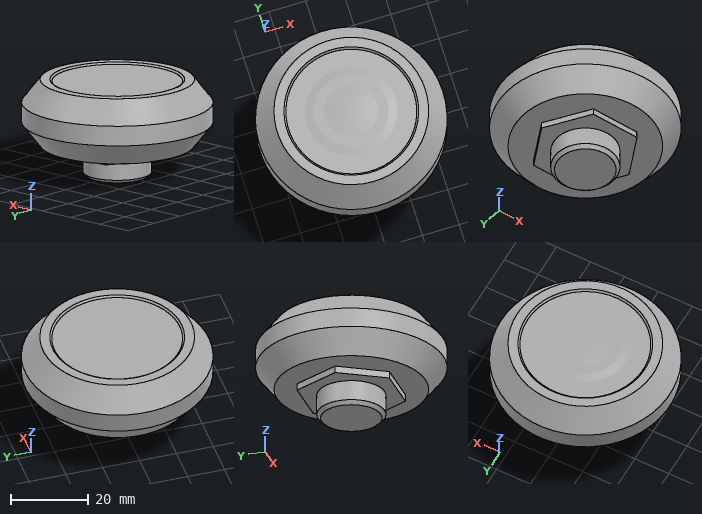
import cadquery as cq
import math

rim_diameter = 49.8
face_diameter = 40.15
wheel_bottom = 8.3
wheel_width = 17.5
rim_width = 5.3

recess_top_diameter = 34.95
recess_floor_diameter = 33.95
recess_depth = 0.5

boss_base_diameter = 24.0
boss_top_diameter = 19.5
boss_height = recess_depth

dome_diameter = 14.05
total_height = 26.4

nut_across_flats = 25.0
nut_thickness = 1.85
stub_diameter = 18.0
stub_chamfer = 1.0

wheel_top = wheel_bottom + wheel_width
bevel_height = (wheel_width - rim_width) / 2
recess_floor = wheel_top - recess_depth
nut_bottom = wheel_bottom - nut_thickness
nut_across_corners = nut_across_flats / math.cos(math.pi / 6)


def cone_frustum(bottom_z, bottom_diameter, top_z, top_diameter):
    """Solid cone frustum around the Z axis."""
    profile = [
        (0, bottom_z),
        (bottom_diameter / 2, bottom_z),
        (top_diameter / 2, top_z),
        (0, top_z),
    ]
    return cq.Workplane("XZ").polyline(profile).close().revolve(360, (0, 0), (0, 1))


def wheel():
    """Cylindrical rim with equal bevels above and below."""
    rim_bottom = wheel_bottom + bevel_height
    rim_top = wheel_top - bevel_height
    lower_bevel = cone_frustum(wheel_bottom, face_diameter, rim_bottom, rim_diameter)
    rim = cone_frustum(rim_bottom, rim_diameter, rim_top, rim_diameter)
    upper_bevel = cone_frustum(rim_top, rim_diameter, wheel_top, face_diameter)
    return lower_bevel.union(rim).union(upper_bevel)


def recess():
    return cone_frustum(recess_floor, recess_floor_diameter, wheel_top, recess_top_diameter)


def boss():
    return cone_frustum(recess_floor, boss_base_diameter, recess_floor + boss_height, boss_top_diameter)


def dome():
    """Spherical cap rising from the top of the boss."""
    boss_top = recess_floor + boss_height
    radius = dome_diameter / 2
    rise = total_height - boss_top
    sphere_radius = (radius**2 + rise**2) / (2 * rise)
    sphere = cq.Workplane("XY").sphere(sphere_radius)
    sphere = sphere.translate((0, 0, total_height - sphere_radius))
    keep = cq.Workplane("XY", origin=(0, 0, boss_top)).circle(rim_diameter).extrude(rise)
    return sphere.intersect(keep)


def nut():
    """Hexagon with two corners on the X axis."""
    return (
        cq.Workplane("XY", origin=(0, 0, nut_bottom))
        .polygon(6, nut_across_corners)
        .extrude(nut_thickness)
    )


def stub():
    return cq.Workplane("XY").circle(stub_diameter / 2).extrude(nut_bottom).faces("<Z").chamfer(stub_chamfer)


result = wheel().cut(recess()).union(boss()).union(dome()).union(nut()).union(stub())